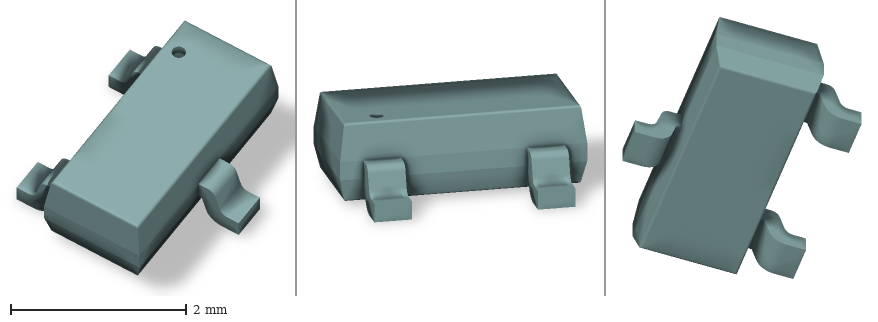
import cadquery as cq
import math

body_length = 2.9
body_width = 1.3
body_bottom = 0.06
body_top = 1.0
top_draft = 8.0
bottom_draft = 13.0
rim_radius = 0.035

lead_span = 2.4
lead_thickness = 0.22
lead_width = 0.44
lead_spacing = 1.92
shoulder_top = 0.565
knee_x = 0.858
heel_x = 0.965
bend_radius = 0.11
heel_radius = 0.22

mark_diameter = 0.162
mark_depth = 0.115
mark_inset = 0.26

shoulder_bottom = shoulder_top - lead_thickness


def drafted_block(start_z, height, draft):
    """Block with the full body outline at start_z, tapering inward along its height."""
    return (
        cq.Workplane("XY")
        .workplane(offset=start_z)
        .rect(body_width, body_length)
        .extrude(height, taper=draft)
    )


def make_body():
    band = drafted_block(shoulder_bottom, lead_thickness, 0)
    upper = drafted_block(shoulder_top, body_top - shoulder_top, top_draft)
    lower = drafted_block(shoulder_bottom, body_bottom - shoulder_bottom, bottom_draft)
    body = band.union(upper).union(lower)
    body = body.faces(">Z").edges().fillet(rim_radius)
    body = body.faces("<Z").edges().fillet(rim_radius)

    mark = (
        cq.Workplane("XY")
        .workplane(offset=body_top - mark_depth)
        .center(mark_inset - body_width / 2, lead_spacing / 2)
        .circle(mark_diameter / 2)
        .extrude(mark_depth)
    )
    return body.cut(mark)


def make_lead():
    """Lead on the +X side, centred on Y = 0, butting against the body band."""
    root_x = body_width / 2
    tip_x = lead_span / 2

    shank_slope = (heel_x - knee_x) / (shoulder_top - lead_thickness)
    shank_width_x = lead_thickness * math.hypot(1, shank_slope)
    inner_knee_x = knee_x + shank_slope * lead_thickness - shank_width_x
    inner_heel_x = heel_x + shank_slope * lead_thickness - shank_width_x

    lead = (
        cq.Workplane("XZ")
        .polyline([
            (root_x, shoulder_top),
            (knee_x, shoulder_top),
            (heel_x, lead_thickness),
            (tip_x, lead_thickness),
            (tip_x, 0),
            (inner_heel_x, 0),
            (inner_knee_x, shoulder_bottom),
            (root_x, shoulder_bottom),
        ])
        .close()
        .extrude(lead_width / 2, both=True)
    )

    def bend(solid, x, z, radius):
        edge = cq.selectors.NearestToPointSelector((x, 0, z))
        return solid.edges("|Y").edges(edge).fillet(radius)

    lead = bend(lead, knee_x, shoulder_top, bend_radius)
    lead = bend(lead, heel_x, lead_thickness, bend_radius)
    return bend(lead, inner_heel_x, 0, heel_radius)


body = make_body()

lead_places = [(0, 0), (180, lead_spacing / 2), (180, -lead_spacing / 2)]
leads = []
for turn, y in lead_places:
    lead = make_lead().rotate((0, 0, 0), (0, 0, 1), turn).translate((0, y, 0))
    leads.append(lead.val())

result = cq.Compound.makeCompound([body.val(), *leads])